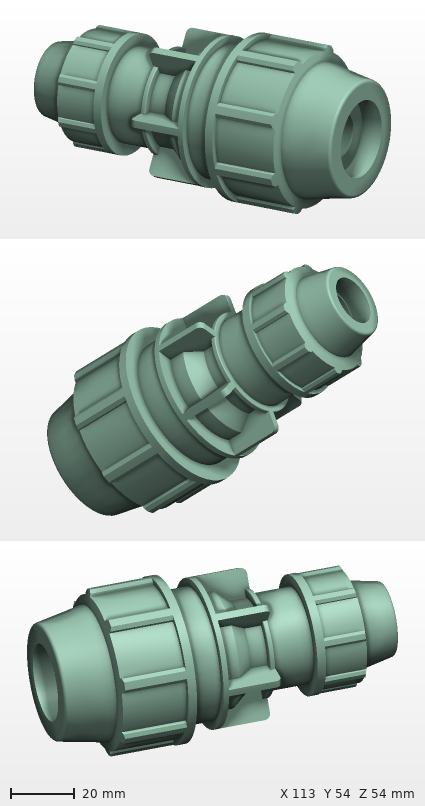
import cadquery as cq
import math

LENGTH = 113.0

SMALL_TIP_RADIUS = 12.0
SMALL_TIP_ROUND = 0.9
SMALL_NOSE_END = 11.3
SMALL_NOSE_RADIUS = 14.4
SMALL_SHOULDER = 12.5
SMALL_PANEL_RADIUS = 18.2
SMALL_FLANGE_START = 26.5
SMALL_FLANGE_END = 29.4
SMALL_FLANGE_RADIUS = 39.0 / 2
SMALL_RIB_WIDTH = 1.8
SMALL_RIB_CHAMFER = 0.85

SMALL_BODY_RADIUS = 31.2 / 2
FIN_START = 42.7
RING_END = 44.4
RING_RADIUS = 17.6
RING_ROUND = 0.3
NECK_RADIUS = 14.8
NECK_END = 49.8
CONE_END = 54.9
CONE_RADIUS = 18.9
COLLAR_START = 60.3
COLLAR_END = 62.2
COLLAR_RADIUS = 48.6 / 2
LARGE_BODY_RADIUS = 43.2 / 2

FIN_COUNT = 6
FIN_WIDTH = 2.4
FIN_ROUND = 2.0

LARGE_FLANGE_START = 71.9
LARGE_FLANGE_END = 74.7
LARGE_FLANGE_RADIUS = 54.0 / 2
LARGE_PANEL_RADIUS = 25.1
LARGE_SHOULDER = 95.8
LARGE_NOSE_START = 96.8
LARGE_NOSE_RADIUS = 22.0
LARGE_TIP_RADIUS = 18.9
LARGE_TIP_ROUND = 1.1
LARGE_RIB_WIDTH = 2.6
LARGE_RIB_CHAMFER = 1.07

NUT_RIB_COUNT = 8

BORE_RADIUS = 14.4 / 2
SMALL_SOCKET_RADIUS = 16.0 / 2
LARGE_SOCKET_RADIUS = 25.0 / 2
SOCKET_DEPTH = 7.2

OVERLAP = 1.1


def revolve_outline(points):
    """Turn an outline of (x, radius) points, closed along the axis, about X."""
    outline = [(points[0][0], 0)] + points + [(points[-1][0], 0)]
    return cq.Workplane("XY").polyline(outline).close().revolve(360, (0, 0, 0), (1, 0, 0))


def cylinder(start, end, radius):
    return cq.Workplane("YZ", origin=(start, 0, 0)).circle(radius).extrude(end - start)


def around_axis(shape, count, first_angle):
    """List of copies of a shape, evenly spaced about X."""
    step = 360 / count
    return [shape.rotate((0, 0, 0), (1, 0, 0), first_angle + i * step) for i in range(count)]


def grip_nut(nose_x, nose_radius, shoulder_x, panel_radius, flange_x, flange_radius, rib_width, chamfer):
    """Nut barrel with chamfered grip ribs flush with the flange and a steep cone down to the nose."""
    cone_run = (shoulder_x - nose_x) / (panel_radius - nose_radius)
    rib_end_x = nose_x + cone_run * (flange_radius - nose_radius)
    blank = revolve_outline([
        (nose_x, nose_radius),
        (rib_end_x, flange_radius),
        (flange_x, flange_radius),
    ])

    half_top = rib_width / 2
    half_base = half_top + chamfer
    edge_radius = math.sqrt(flange_radius**2 - half_top**2)
    rib = (
        cq.Workplane("YZ", origin=(nose_x, 0, 0))
        .polyline([
            (-half_base, nose_radius),
            (-half_base, edge_radius - chamfer),
            (-half_top, edge_radius),
            (-half_top, flange_radius + 2 * OVERLAP),
            (half_top, flange_radius + 2 * OVERLAP),
            (half_top, edge_radius),
            (half_base, edge_radius - chamfer),
            (half_base, nose_radius),
        ])
        .close()
        .extrude(flange_x - nose_x)
    )
    waste = cylinder(nose_x, flange_x, flange_radius + OVERLAP).cut(cylinder(nose_x, flange_x, panel_radius))
    for placed_rib in around_axis(rib, NUT_RIB_COUNT, 180 / NUT_RIB_COUNT):
        waste = waste.cut(placed_rib)
    return blank.cut(waste)


def small_nut():
    nose = revolve_outline([(0, SMALL_TIP_RADIUS), (SMALL_NOSE_END, SMALL_NOSE_RADIUS)])
    nose = nose.faces("<X").edges().fillet(SMALL_TIP_ROUND)
    barrel = grip_nut(
        SMALL_NOSE_END, SMALL_NOSE_RADIUS, SMALL_SHOULDER, SMALL_PANEL_RADIUS,
        SMALL_FLANGE_START, SMALL_FLANGE_RADIUS, SMALL_RIB_WIDTH, SMALL_RIB_CHAMFER,
    )
    flange = cylinder(SMALL_FLANGE_START, SMALL_FLANGE_END, SMALL_FLANGE_RADIUS)
    return nose.union(barrel).union(flange)


def large_nut():
    nose = revolve_outline([(LARGE_NOSE_START, LARGE_NOSE_RADIUS), (LENGTH, LARGE_TIP_RADIUS)])
    nose = nose.faces(">X").edges().fillet(LARGE_TIP_ROUND)
    barrel = grip_nut(
        LARGE_NOSE_START, LARGE_NOSE_RADIUS, LARGE_SHOULDER, LARGE_PANEL_RADIUS,
        LARGE_FLANGE_END, LARGE_FLANGE_RADIUS, LARGE_RIB_WIDTH, LARGE_RIB_CHAMFER,
    )
    flange = cylinder(LARGE_FLANGE_START, LARGE_FLANGE_END, LARGE_FLANGE_RADIUS)
    return nose.union(barrel).union(flange)


def body():
    """Stepped core with a rounded ring, a waisted neck, a collar and the fins that span the neck."""
    core = revolve_outline([
        (SMALL_FLANGE_END, SMALL_BODY_RADIUS),
        (FIN_START, SMALL_BODY_RADIUS),
        (FIN_START, NECK_RADIUS),
        (NECK_END, NECK_RADIUS),
        (CONE_END, CONE_RADIUS),
        (COLLAR_START, CONE_RADIUS),
        (COLLAR_START, COLLAR_RADIUS),
        (COLLAR_END, COLLAR_RADIUS),
        (COLLAR_END, LARGE_BODY_RADIUS),
        (LARGE_FLANGE_START, LARGE_BODY_RADIUS),
    ])
    ring = cylinder(FIN_START, RING_END, RING_RADIUS).edges().fillet(RING_ROUND)
    core = core.union(ring)

    fin_length = COLLAR_START - FIN_START
    fin = (
        cq.Workplane("XY")
        .box(fin_length, COLLAR_RADIUS + OVERLAP, FIN_WIDTH, centered=(False, False, True))
        .translate((FIN_START, 0, 0))
        .intersect(cylinder(FIN_START, COLLAR_START, COLLAR_RADIUS))
        .edges("<X and >Y")
        .fillet(FIN_ROUND)
    )
    for placed_fin in around_axis(fin, FIN_COUNT, 0):
        core = core.union(placed_fin)
    return core


def bores():
    """Through bore with a wider pipe socket at each end."""
    through = cylinder(0, LENGTH, BORE_RADIUS)
    small_socket = cylinder(0, SOCKET_DEPTH, SMALL_SOCKET_RADIUS)
    large_socket = cylinder(LENGTH - SOCKET_DEPTH, LENGTH, LARGE_SOCKET_RADIUS)
    return through.union(small_socket).union(large_socket)


result = small_nut().union(body()).union(large_nut()).cut(bores())